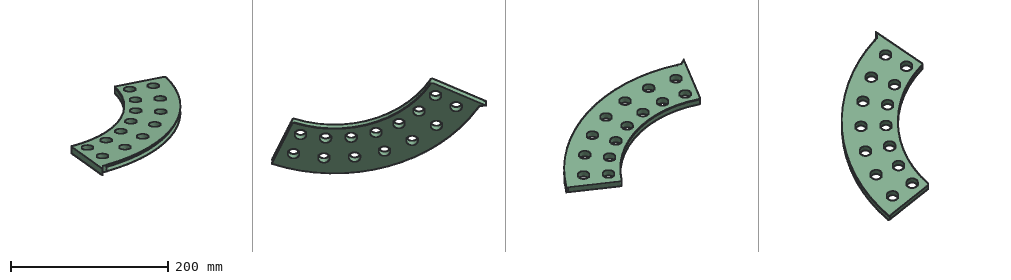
import cadquery as cq
import math

outer_radius = 212.1
inner_radius = 140.0
sweep_angle = 84.0
thickness = 9.5
inner_corner_radius = 3.0

inner_bevel_width = 0.6
inner_bevel_height = 0.8
end_bevel_width = 1.7
end_bevel_height = 0.5
rim_bevel_width = 0.5
rim_bevel_height = 0.2

groove_depth = 2.7

tail_reach = 7.2
tail_width = 5.0
tail_base_width = 10.5

hole_diameter = 15.0
hole_row_radii = (155.6, 187.5)
holes_per_row = 7
hole_pitch_angle = sweep_angle / holes_per_row


def polar(radius, angle):
    """Point at a radius and an angle in degrees."""
    return (radius * math.cos(math.radians(angle)), radius * math.sin(math.radians(angle)))


def sector_blank():
    """Plain flat sector with its two inner corners rounded."""
    blank = (
        cq.Workplane("XY")
        .moveTo(inner_radius, 0)
        .lineTo(outer_radius, 0)
        .threePointArc(polar(outer_radius, sweep_angle / 2), polar(outer_radius, sweep_angle))
        .lineTo(*polar(inner_radius, sweep_angle))
        .threePointArc(polar(inner_radius, sweep_angle / 2), (inner_radius, 0))
        .close()
        .extrude(thickness)
    )
    for angle in (0, sweep_angle):
        corner = (*polar(inner_radius, angle), thickness / 2)
        blank = blank.edges(cq.selectors.NearestToPointSelector(corner)).fillet(inner_corner_radius)
    return blank


def profiled_ring():
    """Full ring with bevelled inner edges and a V-grooved rim, revolved from its cross-section."""
    section = [
        (inner_radius, inner_bevel_height),
        (inner_radius + inner_bevel_width, 0),
        (outer_radius - rim_bevel_width, 0),
        (outer_radius, rim_bevel_height),
        (outer_radius - groove_depth, thickness / 2),
        (outer_radius, thickness - rim_bevel_height),
        (outer_radius - rim_bevel_width, thickness),
        (inner_radius + inner_bevel_width, thickness),
        (inner_radius, thickness - inner_bevel_height),
    ]
    return cq.Workplane("XZ").polyline(section).close().revolve(360, (0, 0), (0, 1))


def end_bevel_cutter():
    """Wedges that bevel the top and bottom edges of the far end face."""
    wedges = cq.Workplane("YZ")
    for face_z, inward in ((0, 1), (thickness, -1)):
        wedges = wedges.polyline(
            [(0, face_z), (-end_bevel_width, face_z), (0, face_z + inward * end_bevel_height)]
        ).close()
    return wedges.extrude(outer_radius).rotate((0, 0, 0), (0, 0, 1), sweep_angle)


def rim_point(y):
    """Point of the outer rim at a distance y from the near end face."""
    return (math.sqrt(outer_radius**2 - y**2), y)


def tail():
    """Pointed tail on the X axis, with a full-height base that closes the end of the groove."""
    root_x = outer_radius - 2 * groove_depth
    outline = [
        (root_x, 0),
        (outer_radius + tail_reach, 0),
        rim_point(tail_width),
        rim_point(tail_base_width),
        (root_x, tail_base_width),
    ]
    return cq.Workplane("XY").polyline(outline).close().extrude(thickness)


def holes():
    """Through holes, each centred in an equal share of the sweep."""
    centres = [
        polar(radius, (index + 0.5) * hole_pitch_angle)
        for radius in hole_row_radii
        for index in range(holes_per_row)
    ]
    return cq.Workplane("XY").pushPoints(centres).circle(hole_diameter / 2).extrude(thickness)


plate = sector_blank().intersect(profiled_ring()).cut(end_bevel_cutter())
result = plate.union(tail()).cut(holes())